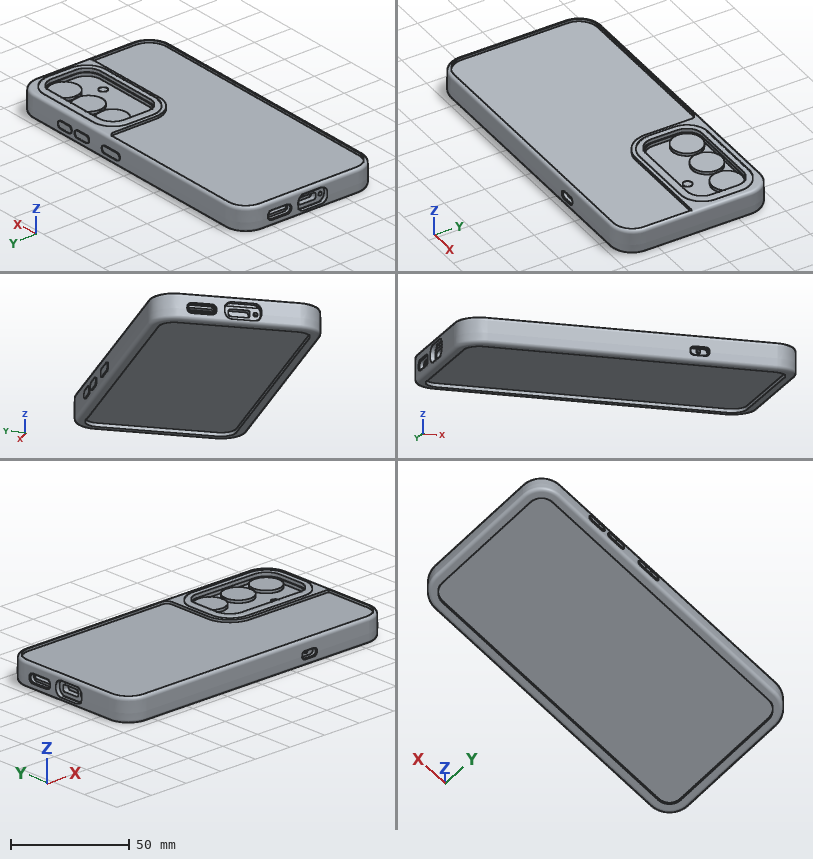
import cadquery as cq

CASE_LENGTH = 151.0
CASE_WIDTH = 74.6
CASE_HEIGHT = 12.0
CASE_CORNER = 11.2
PARTING_Z = 4.8
WALL_DRAFT = 1.0
TOP_ROUND = 1.7
BOTTOM_ROUND = 1.7

WALL = 2.3
PHONE_LENGTH = CASE_LENGTH - 2 * WALL
PHONE_WIDTH = CASE_WIDTH - 2 * WALL
PHONE_CORNER = CASE_CORNER - WALL
PHONE_BOTTOM = 1.7
PHONE_TOP = 9.2
PHONE_EDGE_CHAMFER = 0.9
PORT_Z = (PHONE_BOTTOM + PHONE_TOP) / 2
LIP = 2.3

PANEL_INSET = 1.8
PANEL_TOP = 10.7
PANEL_THICKNESS = 0.8
PANEL_CORNER = CASE_CORNER - PANEL_INSET
PLATE_LEFT = 15.7
PLATE_FRONT = -2.3
PLATE_INNER_ROUND = 12.4
PLATE_RIM_ROUND = 2.7

RING_X = 44.9
RING_Y = 16.6
RING_LENGTH = 54.4
RING_WIDTH = 34.0
RING_CORNER = 10.5
RING_WALL = 3.0
RING_TOP = 12.7
RING_BOTTOM = 10.9
RING_EDGE_ROUND = 0.5
LEDGE = 0.5

LENS_COUNT = 3
LENS_PITCH = 16.2
LENS_DIAMETER = 14.8
LENS_HEIGHT = 1.4
LENS_Y = 22.8
FLASH_X = 52.9
FLASH_Y = 8.3
FLASH_DIAMETER = 4.2
FLASH_HEIGHT = 0.2

SOCKET_DEPTH = 3.0
USB_LENGTH = 9.4
USB_HEIGHT = 3.3
USB_CORNER = 1.2
MIC_Y = -7.1
MIC_DIAMETER = 1.8
SPEAKER_Y = 16.8
SPEAKER_LENGTH = 10.4
SPEAKER_HEIGHT = 1.7
SIDE_MIC_X = 29.9

OPENING_CHAMFER = 0.5
SPEAKER_OPENING_LENGTH = 13.0
SPEAKER_OPENING_HEIGHT = 4.8
USB_OPENING_Y = -1.2
USB_OPENING_Z = 5.7
USB_OPENING_LENGTH = 16.0
USB_OPENING_HEIGHT = 7.7
USB_OPENING_CORNER = 3.3
SIDE_OPENING_LENGTH = 8.8
SIDE_OPENING_HEIGHT = 4.1
SIDE_OPENING_Z = 5.0

BUTTON_SPANS = [(5.9, 17.8), (26.5, 36.0), (38.0, 47.1)]
BUTTON_Z = 5.1
BUTTON_HEIGHT = 3.6
BUTTON_RISE = 0.5


def rounded_block(length, width, corner, bottom, top, x=0.0, y=0.0):
    """Upright block with rounded vertical edges, centred at (x, y)."""
    block = cq.Workplane("XY").box(length, width, top - bottom, centered=(True, True, False))
    return block.edges("|Z").fillet(corner).translate((x, y, bottom))


def rounded_profile(across, height, corner):
    """Section with rounded corners."""
    return cq.Sketch().rect(across, height).vertices().fillet(corner)


def slot_profile(across, height):
    """Section with fully round ends."""
    return cq.Sketch().slot(across - height, height)


def bore(profile, depth):
    """Straight bar of the given section, running along +X from the YZ plane."""
    return cq.Workplane("YZ").placeSketch(profile).extrude(depth)


def flared_bore(mouth, throat):
    """Cutter for an opening in the case wall: chamfered mouth, then a straight throat."""
    chamfer = cq.Workplane("YZ").placeSketch(mouth).extrude(OPENING_CHAMFER, taper=45)
    return chamfer.union(bore(throat, WALL))


def flared_slot(across, height):
    """Flared bore of slot section; the sizes are those of its mouth."""
    narrowing = 2 * OPENING_CHAMFER
    return flared_bore(slot_profile(across, height), slot_profile(across - narrowing, height - narrowing))


def on_end(cutter, side, y, z):
    """Place a cutter at the -X end, starting at the plane x = side."""
    return cutter.translate((side, y, z))


def on_long_side(cutter, side, x, z):
    """Turn a cutter to run along +Y and place it at the -Y side, from the plane y = side."""
    return cutter.rotate((0, 0, 0), (0, 0, 1), 90).translate((x, side, z))


def make_phone_envelope():
    """Outer shape of the phone, also the cavity of the case."""
    block = rounded_block(PHONE_LENGTH, PHONE_WIDTH, PHONE_CORNER, PHONE_BOTTOM, PHONE_TOP)
    return block.faces(">Z").edges().chamfer(PHONE_EDGE_CHAMFER)


def make_phone():
    phone = make_phone_envelope()

    lens_spots = [((i - (LENS_COUNT - 1) / 2) * LENS_PITCH + RING_X, LENS_Y) for i in range(LENS_COUNT)]
    back = cq.Workplane("XY", origin=(0, 0, PHONE_TOP))
    lenses = back.pushPoints(lens_spots).circle(LENS_DIAMETER / 2).extrude(LENS_HEIGHT)
    flash = back.center(FLASH_X, FLASH_Y).circle(FLASH_DIAMETER / 2).extrude(FLASH_HEIGHT)
    phone = phone.union(lenses).union(flash)

    end = -PHONE_LENGTH / 2
    usb = bore(rounded_profile(USB_LENGTH, USB_HEIGHT, USB_CORNER), SOCKET_DEPTH)
    speaker = bore(slot_profile(SPEAKER_LENGTH, SPEAKER_HEIGHT), SOCKET_DEPTH)
    mic = bore(cq.Sketch().circle(MIC_DIAMETER / 2), SOCKET_DEPTH)
    phone = phone.cut(on_end(usb, end, 0, PORT_Z))
    phone = phone.cut(on_end(speaker, end, SPEAKER_Y, PORT_Z))
    phone = phone.cut(on_end(mic, end, MIC_Y, PORT_Z))
    return phone.cut(on_long_side(mic, -PHONE_WIDTH / 2, SIDE_MIC_X, PORT_Z))


def panel_prism(top):
    """Panel outline carried up to the given level: a rounded plate less the camera corner."""
    right = CASE_LENGTH / 2 - PANEL_INSET
    rim = CASE_WIDTH / 2 - PANEL_INSET
    bottom = PANEL_TOP - PANEL_THICKNESS
    plate = rounded_block(2 * right, 2 * rim, PANEL_CORNER, bottom, top)
    corner = (
        cq.Workplane("XY", origin=(0, 0, bottom))
        .moveTo(PLATE_LEFT, PLATE_FRONT)
        .lineTo(CASE_LENGTH, PLATE_FRONT)
        .lineTo(CASE_LENGTH, CASE_WIDTH)
        .lineTo(PLATE_LEFT, CASE_WIDTH)
        .close()
        .extrude(top - bottom)
    )
    corner = corner.edges("|Z and <X and <Y").fillet(PLATE_INNER_ROUND)
    panel = plate.cut(corner)
    rim_edge = cq.selectors.NearestToPointSelector((PLATE_LEFT, rim, (bottom + top) / 2))
    return panel.edges("|Z").edges(rim_edge).fillet(PLATE_RIM_ROUND)


def make_panel():
    return panel_prism(PANEL_TOP)


def make_ring_envelope():
    return rounded_block(RING_LENGTH, RING_WIDTH, RING_CORNER, RING_BOTTOM, RING_TOP, RING_X, RING_Y)


def make_ring():
    """Raised frame around the camera opening, let into the case."""
    ring = make_ring_envelope().faces(">Z").edges().fillet(RING_EDGE_ROUND)
    opening = rounded_block(
        RING_LENGTH - 2 * RING_WALL, RING_WIDTH - 2 * RING_WALL, RING_CORNER - RING_WALL,
        RING_BOTTOM, RING_TOP, RING_X, RING_Y,
    )
    return ring.cut(opening)


def make_case_shell():
    """Outer shape of the case, drafted both ways from the parting level."""
    def half(height):
        """Half shell, widest at its base plane."""
        outline = rounded_profile(CASE_LENGTH, CASE_WIDTH, CASE_CORNER)
        return cq.Workplane("XY").placeSketch(outline).extrude(height, taper=WALL_DRAFT)

    upper = half(CASE_HEIGHT - PARTING_Z).faces(">Z").edges().fillet(TOP_ROUND)
    lower = half(PARTING_Z).faces(">Z").edges().fillet(BOTTOM_ROUND)
    lower = lower.mirror("XY")
    return upper.union(lower).translate((0, 0, PARTING_Z))


def make_buttons():
    """Round-ended button covers, reaching from inside the wall to just past it."""
    covers = cq.Workplane("XY")
    outer = CASE_WIDTH / 2 + BUTTON_RISE
    depth = WALL / 2
    for start, end in BUTTON_SPANS:
        cover = bore(slot_profile(end - start, BUTTON_HEIGHT), depth)
        covers = covers.add(on_long_side(cover, outer - depth, (start + end) / 2, BUTTON_Z))
    return covers


def make_case():
    case = make_case_shell()
    for button in make_buttons().vals():
        case = case.union(cq.Workplane(button))

    case = case.cut(make_phone_envelope())
    screen_window = rounded_block(
        PHONE_LENGTH - 2 * LIP, PHONE_WIDTH - 2 * LIP, PHONE_CORNER - LIP, 0, PHONE_BOTTOM
    )
    case = case.cut(screen_window)

    case = case.cut(panel_prism(CASE_HEIGHT))
    case = case.cut(make_ring_envelope())

    camera_opening = rounded_block(
        RING_LENGTH - 2 * (RING_WALL + LEDGE), RING_WIDTH - 2 * RING_WALL - LEDGE, RING_CORNER - RING_WALL,
        PHONE_TOP, RING_BOTTOM, RING_X, RING_Y + LEDGE / 2,
    )
    case = case.cut(camera_opening)

    end = -CASE_LENGTH / 2
    speaker = flared_slot(SPEAKER_OPENING_LENGTH, SPEAKER_OPENING_HEIGHT)
    port = bore(rounded_profile(USB_OPENING_LENGTH, USB_OPENING_HEIGHT, USB_OPENING_CORNER), WALL)
    side_mic = flared_slot(SIDE_OPENING_LENGTH, SIDE_OPENING_HEIGHT)
    case = case.cut(on_end(speaker, end, SPEAKER_Y, PORT_Z))
    case = case.cut(on_end(port, end, USB_OPENING_Y, USB_OPENING_Z))
    return case.cut(on_long_side(side_mic, -CASE_WIDTH / 2, SIDE_MIC_X, SIDE_OPENING_Z))


case = make_case()
phone = make_phone()
panel = make_panel()
ring = make_ring()

result = cq.Compound.makeCompound([body.solids().val() for body in (case, phone, panel, ring)])